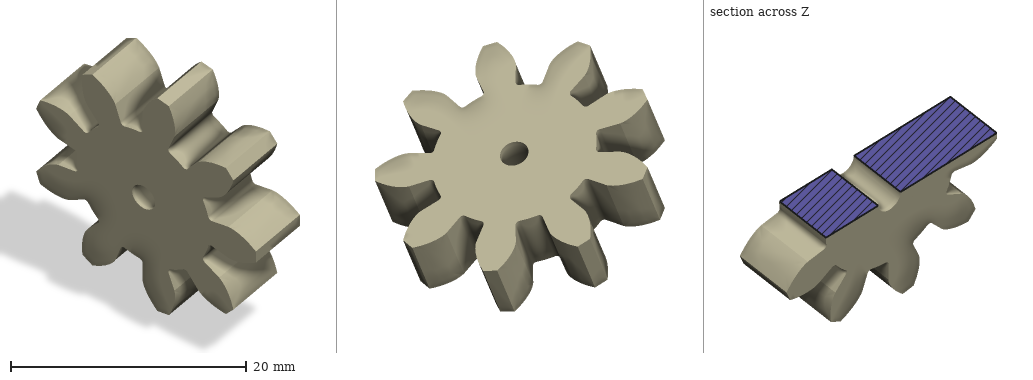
import cadquery as cq
import math

tooth_count = 9
outer_radius = 12.23
pressure_angle = math.radians(20)
face_width = 6.0
bore_diameter = 2.5
root_fillet = 0.36
addendum_factor = 1.0
dedendum_factor = 1.25
involute_steps = 6

module = outer_radius / (tooth_count / 2 + addendum_factor)
pitch_radius = module * tooth_count / 2
base_radius = pitch_radius * math.cos(pressure_angle)
root_radius = pitch_radius - dedendum_factor * module
tooth_pitch = 2 * math.pi / tooth_count


def involute(angle):
    return math.tan(angle) - angle


back_face_center = (0, face_width / 2, 0)

base_half_angle = tooth_pitch / 4 + involute(pressure_angle)


def polar(radius, angle):
    return (radius * math.cos(angle), radius * math.sin(angle))


def flank_points(center_angle, side):
    """Involute points from base circle to tip; side is -1 or +1."""
    points = []
    for step in range(involute_steps + 1):
        radius = base_radius + (outer_radius - base_radius) * step / involute_steps
        half_angle = base_half_angle - involute(math.acos(base_radius / radius))
        points.append(polar(radius, center_angle + side * half_angle))
    return points


def gear_outline():
    """Teeth with radial flanks below the base circle and flat tips."""
    outline = cq.Workplane("XZ", origin=back_face_center).moveTo(*polar(root_radius, -base_half_angle))
    for index in range(tooth_count):
        center = index * tooth_pitch
        rising = flank_points(center, -1)
        falling = flank_points(center, 1)[::-1]
        outline = outline.lineTo(*rising[0])
        outline = outline.spline(rising[1:], includeCurrent=True)
        outline = outline.lineTo(*falling[0])
        outline = outline.spline(falling[1:], includeCurrent=True)
        outline = outline.lineTo(*polar(root_radius, center + base_half_angle))
        outline = outline.threePointArc(
            polar(root_radius, center + tooth_pitch / 2),
            polar(root_radius, center + tooth_pitch - base_half_angle),
        )
    return outline.close()


def is_root_corner(edge):
    center = edge.Center()
    return abs(math.hypot(center.x, center.z) - root_radius) < root_fillet / 10


gear = gear_outline().extrude(face_width)

root_corners = [edge for edge in gear.edges("|Y").vals() if is_root_corner(edge)]
gear = gear.newObject(root_corners).fillet(root_fillet)

bore = cq.Workplane("XZ", origin=back_face_center).circle(bore_diameter / 2).extrude(face_width)
result = gear.cut(bore)